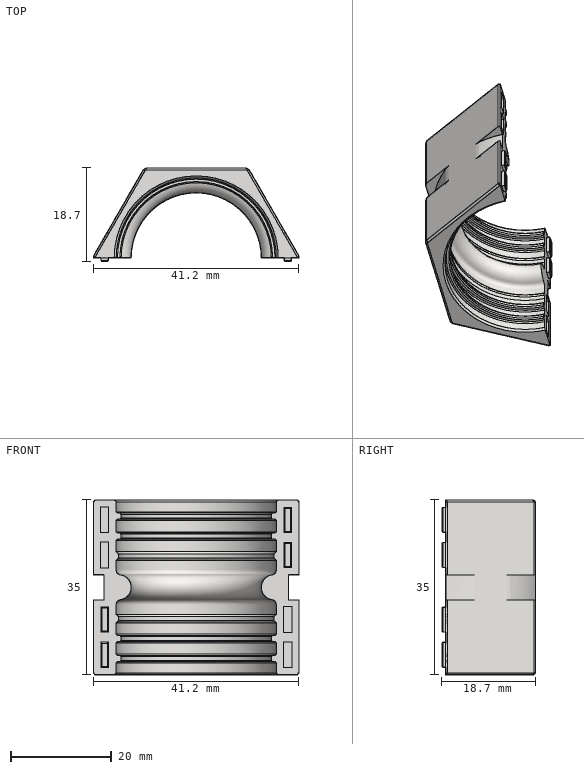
import cadquery as cq
import math


width = 41.15
height = 35.0
bevel = 0.4
corner_radius = width / 2 + bevel * math.cos(math.radians(60))

bore_radius = 16.0
rib_chamfer = 0.25
rib_width = 1.25
low_rib_height = 2 * rib_chamfer
high_rib_height = 1.0
rib_pitch = 4.0
first_rib_z = 6.25
rib_heights = [low_rib_height, high_rib_height, high_rib_height]

bead_radius = 2.5
bead_crest_radius = 13.0
bead_root_fillet = 1.0

band_width = 2 * bead_radius
band_radius = 18.5

key_width = 1.5
key_length = 5.02
key_height = 0.75
key_chamfer = 0.2
key_clearance = 0.07
key_x = 18.32
key_z_positions = [6.45, 13.5]


def hexagonal_prism(length):
    """Full hexagonal prism centred on the origin, with corners on the X axis."""
    return cq.Workplane("XY").polygon(6, 2 * corner_radius).extrude(length / 2, both=True)


def cylinder(radius, length):
    return cq.Workplane("XY").circle(radius).extrude(length / 2, both=True)


def cut_band_groove(body):
    """Turn the hexagon corners down to the band radius and bevel the edges left there."""
    core = hexagonal_prism(band_width).intersect(cylinder(band_radius, band_width))
    core = core.edges("|Z").chamfer(bevel)
    ring = cylinder(width, band_width).cut(core)
    return body.cut(ring)


def rib_outline(center_z, rib_height):
    """Points (radius, z) along one rib, from its lower root to its upper root."""
    crest = bore_radius - rib_height
    lower_half = [
        (bore_radius, -rib_width / 2 - rib_chamfer),
        (bore_radius - rib_chamfer, -rib_width / 2),
        (crest + rib_chamfer, -rib_width / 2),
        (crest, -rib_width / 2 + rib_chamfer),
    ]
    if rib_height <= 2 * rib_chamfer:
        del lower_half[2]
    upper_half = [(r, -z) for r, z in reversed(lower_half)]
    return [(r, center_z + z) for r, z in lower_half + upper_half]


def bore_tool():
    """Revolved solid with the shape of the bore: ribs, bead and chamfered mouths."""
    half = height / 2
    mouth = [(bore_radius, half - bevel), (bore_radius + bevel, half)]

    bead_center = bead_crest_radius + bead_radius
    fillet_center = bore_radius - bead_root_fillet
    center_distance = bead_radius + bead_root_fillet
    fillet_z = math.sqrt(center_distance**2 - (bead_center - fillet_center)**2)
    touch_share = bead_radius / center_distance
    touch_r = bead_center + (fillet_center - bead_center) * touch_share
    touch_z = fillet_z * touch_share
    touch_angle = math.atan2(touch_z - fillet_z, touch_r - fillet_center)
    middle_angle = touch_angle / 2
    fillet_middle_r = fillet_center + bead_root_fillet * math.cos(middle_angle)
    fillet_middle_z = fillet_z + bead_root_fillet * math.sin(middle_angle)

    upper_wall = []
    for i, rib_height in enumerate(rib_heights):
        upper_wall += rib_outline(first_rib_z + i * rib_pitch, rib_height)
    upper_wall += mouth
    lower_wall = [(r, -z) for r, z in reversed(upper_wall)]

    outline = cq.Workplane("XZ").moveTo(0, -half)
    for point in lower_wall:
        outline = outline.lineTo(*point)
    outline = (
        outline.lineTo(bore_radius, -fillet_z)
        .threePointArc((fillet_middle_r, -fillet_middle_z), (touch_r, -touch_z))
        .threePointArc((bead_crest_radius, 0), (touch_r, touch_z))
        .threePointArc((fillet_middle_r, fillet_middle_z), (bore_radius, fillet_z))
    )
    for point in upper_wall:
        outline = outline.lineTo(*point)
    return outline.lineTo(0, half).close().revolve(360, (0, 0), (0, 1))


def key(x, z):
    """Rectangular key on the split face, rooted in the body and chamfered at its free end."""
    return (
        cq.Workplane("XY")
        .box(key_width, 2 * key_height, key_length)
        .faces("<Y")
        .edges()
        .chamfer(key_chamfer)
        .translate((x, 0, z))
    )


def pocket_tool(x, z):
    """Rectangular pocket that takes a key of the other half."""
    return cq.Workplane("XY").box(
        key_width + 2 * key_clearance,
        2 * (key_height + key_clearance),
        key_length + 2 * key_clearance,
    ).translate((x, 0, z))


sleeve = hexagonal_prism(height).edges().chamfer(bevel)
sleeve = cut_band_groove(sleeve)
sleeve = sleeve.cut(bore_tool())

half_space = cq.Workplane("XY").box(2 * width, width, 2 * height).translate((0, width / 2, 0))
result = sleeve.intersect(half_space)

for side in (1, -1):
    for z in key_z_positions:
        result = result.union(key(side * key_x, side * z))
        result = result.cut(pocket_tool(-side * key_x, side * z))